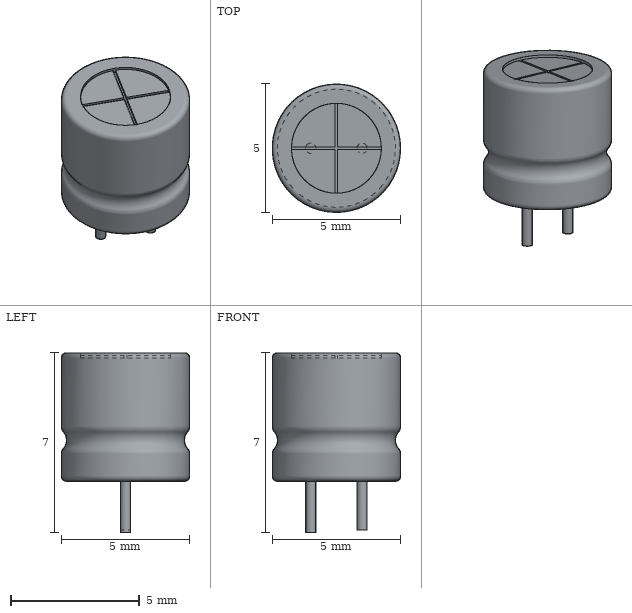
import cadquery as cq
import math

body_diameter = 5.0
body_height = 5.0
rim_radius = 0.2

belt_height = 1.6
belt_depth = 0.2
belt_arc_radius = 0.5
belt_blend_radius = 0.3

recess_diameter = 3.5
recess_depth = 0.1
score_width = 0.1
score_depth = 0.1

lead_diameter = 0.4
lead_pitch = 2.0
long_lead_length = 2.0
short_lead_length = 1.9

body_radius = body_diameter / 2


def make_body():
    """Revolve the half profile of the can, rounded rims and belt included."""
    blend_angle = math.acos(1 - belt_depth / (belt_arc_radius + belt_blend_radius))
    belt_half_height = (belt_arc_radius + belt_blend_radius) * math.sin(blend_angle)
    arc_half_height = belt_arc_radius * math.sin(blend_angle)
    belt_radius = body_radius - belt_depth
    tangent_radius = belt_radius + belt_arc_radius * (1 - math.cos(blend_angle))

    blend_mid_radius = body_radius - belt_blend_radius * (1 - math.cos(blend_angle / 2))
    blend_mid_height = belt_half_height - belt_blend_radius * math.sin(blend_angle / 2)

    rim_inset = rim_radius * (1 - math.sqrt(0.5))

    return (
        cq.Workplane("XZ")
        .lineTo(body_radius - rim_radius, 0)
        .threePointArc((body_radius - rim_inset, rim_inset), (body_radius, rim_radius))
        .lineTo(body_radius, belt_height - belt_half_height)
        .threePointArc(
            (blend_mid_radius, belt_height - blend_mid_height),
            (tangent_radius, belt_height - arc_half_height),
        )
        .threePointArc(
            (belt_radius, belt_height),
            (tangent_radius, belt_height + arc_half_height),
        )
        .threePointArc(
            (blend_mid_radius, belt_height + blend_mid_height),
            (body_radius, belt_height + belt_half_height),
        )
        .lineTo(body_radius, body_height - rim_radius)
        .threePointArc(
            (body_radius - rim_inset, body_height - rim_inset),
            (body_radius - rim_radius, body_height),
        )
        .lineTo(0, body_height)
        .close()
        .revolve(360, (0, 0, 0), (0, 1, 0))
    )


def make_top_cut():
    """Round recess with two crossed score lines in its floor, ending at its wall."""
    top_plane = cq.Workplane("XY", origin=(0, 0, body_height))
    total_depth = recess_depth + score_depth
    recess = top_plane.circle(recess_diameter / 2).extrude(-recess_depth)
    score_limit = top_plane.circle(recess_diameter / 2).extrude(-total_depth)

    top_cut = recess
    for x_size, y_size in ((recess_diameter, score_width), (score_width, recess_diameter)):
        score = top_plane.rect(x_size, y_size).extrude(-total_depth)
        top_cut = top_cut.union(score.intersect(score_limit))
    return top_cut


def make_lead(x_position, length):
    """Round lead hanging from the underside of the can."""
    return (
        cq.Workplane("XY")
        .center(x_position, 0)
        .circle(lead_diameter / 2)
        .extrude(-length)
    )


result = make_body().cut(make_top_cut())
result = result.union(make_lead(-lead_pitch / 2, long_lead_length))
result = result.union(make_lead(lead_pitch / 2, short_lead_length))